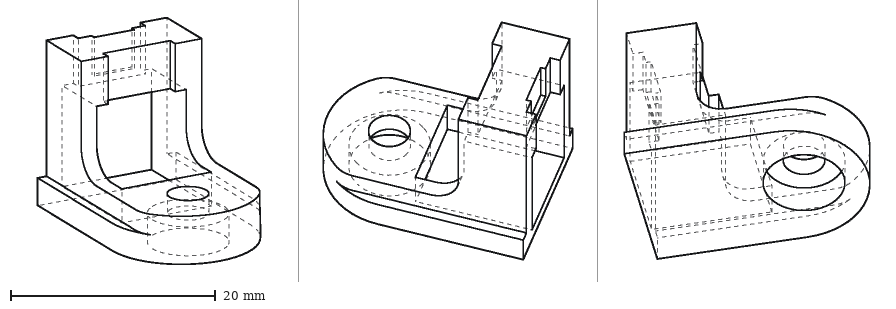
import cadquery as cq
import math

length = 22.75
base_width = 15.5
base_height = 2.87
nose_radius = base_width / 2
nose_x = length - nose_radius

body_width = 13.5
total_height = 17.0
deck_height = 5.0
tower_depth = 7.0
root_radius = 3.0
corner_radius = 3.0

channel_width = 10.0
channel_length = 12.01
channel_floor = 1.5
channel_roof = 12.01

notch_width = 7.5
notch_depth = 1.0
latch_width = 4.5
latch_depth = 1.5
latch_floor = 13.0

hole_x = 16.33
hole_diameter = 4.1
counterbore_diameter = 8.0
counterbore_depth = 3.0


def centered_box(x_start, x_end, width, z_bottom, z_top):
    """Box symmetric about the XZ plane."""
    return (
        cq.Workplane("XY", origin=(x_start, 0, z_bottom))
        .rect(x_end - x_start, width)
        .extrude(z_top - z_bottom)
        .translate(((x_end - x_start) / 2, 0, 0))
    )


def make_base():
    return (
        cq.Workplane("XY")
        .moveTo(0, -nose_radius)
        .lineTo(nose_x, -nose_radius)
        .threePointArc((length, 0), (nose_x, nose_radius))
        .lineTo(0, nose_radius)
        .close()
        .extrude(base_height)
    )


def make_body_plan():
    """Prism whose corner arcs blend its straight sides into the nose arc."""
    half_width = body_width / 2
    corner_y = half_width - corner_radius
    center_distance = nose_radius - corner_radius
    corner_dx = math.sqrt(center_distance**2 - corner_y**2)
    corner_x = nose_x + corner_dx

    blend_angle = math.atan2(corner_y, corner_dx)
    blend_x = nose_x + nose_radius * math.cos(blend_angle)
    blend_y = nose_radius * math.sin(blend_angle)

    middle_angle = (math.pi / 2 + blend_angle) / 2
    middle_x = corner_x + corner_radius * math.cos(middle_angle)
    middle_y = corner_y + corner_radius * math.sin(middle_angle)

    return (
        cq.Workplane("XY")
        .moveTo(0, -half_width)
        .lineTo(corner_x, -half_width)
        .threePointArc((middle_x, -middle_y), (blend_x, -blend_y))
        .threePointArc((length, 0), (blend_x, blend_y))
        .threePointArc((middle_x, middle_y), (corner_x, half_width))
        .lineTo(0, half_width)
        .close()
        .extrude(total_height)
    )


def make_body():
    """L-shaped side profile, trimmed to the rounded plan shape."""
    profile = (
        cq.Workplane("XZ")
        .lineTo(length, 0)
        .lineTo(length, deck_height)
        .lineTo(tower_depth + root_radius, deck_height)
        .radiusArc((tower_depth, deck_height + root_radius), root_radius)
        .lineTo(tower_depth, total_height)
        .lineTo(0, total_height)
        .close()
        .extrude(body_width / 2, both=True)
    )
    return profile.intersect(make_body_plan())


channel = centered_box(0, channel_length, channel_width, channel_floor, channel_roof)
front_notch = centered_box(0, notch_depth, notch_width, channel_roof, total_height)
latch_notch = centered_box(0, latch_depth, latch_width, latch_floor, total_height)
rear_notch = centered_box(
    tower_depth - notch_depth, tower_depth, notch_width, channel_roof, total_height
)
hole_axis = cq.Workplane("XY").center(hole_x, 0)
hole = hole_axis.circle(hole_diameter / 2).extrude(deck_height)
counterbore = hole_axis.circle(counterbore_diameter / 2).extrude(counterbore_depth)

result = make_base().union(make_body())
for cutter in (channel, front_notch, latch_notch, rear_notch, hole, counterbore):
    result = result.cut(cutter)